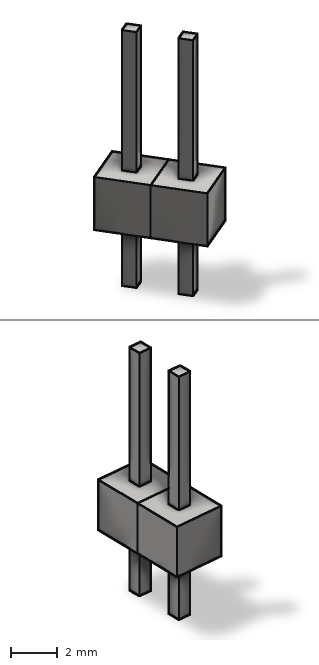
import cadquery as cq

pin_count = 2
row_length = 5.08
block_size = 2.55
pin_width = 0.65
pin_length = 12.29
tail_length = 3.0

pitch = row_length / pin_count


def header_position(center_x):
    """One pin header position: a housing block with its square pin, as one solid."""
    block = (
        cq.Workplane("XY")
        .box(pitch, block_size, block_size, centered=(True, True, False))
    )
    pin = (
        cq.Workplane("XY")
        .workplane(offset=-tail_length)
        .rect(pin_width, pin_width)
        .extrude(pin_length)
    )
    return block.union(pin).translate((center_x, 0, 0))


header_positions = []
for index in range(pin_count):
    center_x = (index - (pin_count - 1) / 2) * pitch
    header_positions.append(header_position(center_x).val())

result = cq.Compound.makeCompound(header_positions)